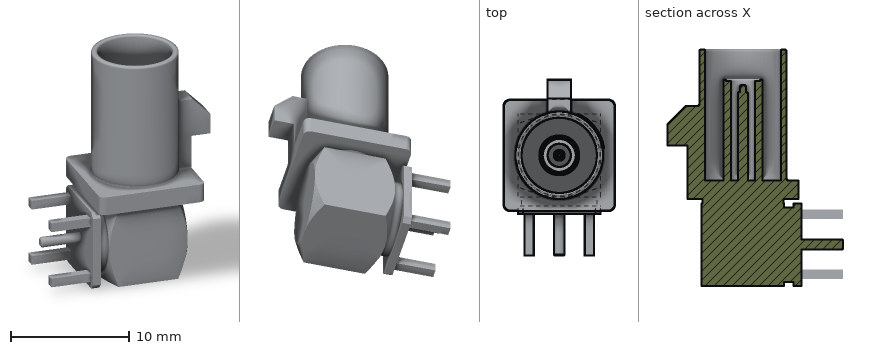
import cadquery as cq
import math


BLOCK_SIDE = 7.0
BLOCK_HALF = BLOCK_SIDE / 2
BLOCK_CHAMFER_ANGLE = 30.0

NECK_DIAMETER = 6.89
NECK_HEIGHT = 0.32
FLANGE_SIDE = 9.4
FLANGE_THICKNESS = 1.62
FLANGE_CORNER_RADIUS = 0.56
FLANGE_BOTTOM = BLOCK_SIDE + NECK_HEIGHT
FLANGE_TOP = FLANGE_BOTTOM + FLANGE_THICKNESS

TOTAL_HEIGHT = 20.02
BARREL_RADIUS = 3.7
BORE_RADIUS = 3.18
RIM_FILLET = 0.2
ROOT_FILLET = 0.15

RIB_WIDTH = 2.0
RIB_TOP = 15.24
HOOK_BOTTOM = 11.85
HOOK_REACH = 6.4
HOOK_BEVEL = 1.6

TUBE_TOP = 17.5
TUBE_RADIUS = 1.68
TUBE_BORE_RADIUS = 0.98
TUBE_RIM_CHAMFER = 0.15
CONTACT_TIP_DIAMETER = 0.52
CONTACT_TIP_LENGTH = 0.6
CONTACT_TOP = 17.02

PIN_DIAMETER = 0.9
PIN_CHAMFER = 0.12

SPACER_DIAMETER = 6.37
SPACER_LENGTH = 0.76
PLATE_THICKNESS = 0.7
PLATE_CHAMFER = 0.45
PIN_REACH = 8.49
GROUND_PIN_SIDE = 0.8
GROUND_PIN_PITCH = 5.09
PLATE_BACK = BLOCK_HALF + SPACER_LENGTH
PLATE_FRONT = PLATE_BACK + PLATE_THICKNESS
PIN_LENGTH = PIN_REACH - PLATE_FRONT


def board_plane(distance):
    """Plane facing -Y at the given distance from the barrel axis, centred on the block."""
    return cq.Workplane("XZ", origin=(0, -distance, BLOCK_HALF))


def make_block():
    """Cube whose two Y ends are turned down by cones, like the corners of a nut."""
    cube = cq.Workplane("XY").box(BLOCK_SIDE, BLOCK_SIDE, BLOCK_SIDE)
    corner_radius = BLOCK_HALF * math.sqrt(2)
    setback = (corner_radius - BLOCK_HALF) * math.tan(math.radians(BLOCK_CHAMFER_ANGLE))
    shoulder = BLOCK_HALF - setback
    turned = (
        cq.Workplane("XY")
        .moveTo(0, -BLOCK_HALF)
        .lineTo(BLOCK_HALF, -BLOCK_HALF)
        .lineTo(corner_radius, -shoulder)
        .lineTo(corner_radius, shoulder)
        .lineTo(BLOCK_HALF, BLOCK_HALF)
        .lineTo(0, BLOCK_HALF)
        .close()
        .revolve(360, (0, 0, 0), (0, 1, 0))
    )
    return cube.intersect(turned).translate((0, 0, BLOCK_HALF))


def make_flange():
    neck = cq.Workplane("XY", origin=(0, 0, BLOCK_SIDE)).circle(NECK_DIAMETER / 2).extrude(NECK_HEIGHT)
    flange = (
        cq.Workplane("XY", origin=(0, 0, FLANGE_BOTTOM))
        .rect(FLANGE_SIDE, FLANGE_SIDE)
        .extrude(FLANGE_THICKNESS)
        .edges("|Z")
        .fillet(FLANGE_CORNER_RADIUS)
    )
    return neck.union(flange)


def make_barrel_and_rib():
    """Solid barrel with its hooked latch rib, rounded where the two meet."""
    barrel = (
        cq.Workplane("XY", origin=(0, 0, FLANGE_TOP))
        .circle(BARREL_RADIUS)
        .extrude(TOTAL_HEIGHT - FLANGE_TOP)
    )
    rib = (
        cq.Workplane("YZ")
        .moveTo(0, FLANGE_TOP)
        .lineTo(FLANGE_SIDE / 2, FLANGE_TOP)
        .lineTo(FLANGE_SIDE / 2, HOOK_BOTTOM)
        .lineTo(HOOK_REACH, HOOK_BOTTOM)
        .lineTo(HOOK_REACH, RIB_TOP - HOOK_BEVEL)
        .lineTo(HOOK_REACH - HOOK_BEVEL, RIB_TOP)
        .lineTo(0, RIB_TOP)
        .close()
        .extrude(RIB_WIDTH / 2, both=True)
    )
    half_width = RIB_WIDTH / 2 + ROOT_FILLET
    seam = cq.selectors.BoxSelector(
        (-half_width, BARREL_RADIUS - ROOT_FILLET * 2, FLANGE_TOP + ROOT_FILLET),
        (half_width, BARREL_RADIUS + ROOT_FILLET, RIB_TOP + ROOT_FILLET),
    )
    return barrel.union(rib).edges(seam).fillet(ROOT_FILLET)


def make_bore():
    """Cutter for the barrel bore, which ends level with the top of the flange."""
    return (
        cq.Workplane("XY", origin=(0, 0, FLANGE_TOP))
        .circle(BORE_RADIUS)
        .extrude(TOTAL_HEIGHT - FLANGE_TOP)
    )


def make_tube():
    """Contact tube with a sharp rim, chamfered outside and inside."""
    shoulder = TUBE_TOP - TUBE_RIM_CHAMFER
    crest_radius = TUBE_RADIUS - TUBE_RIM_CHAMFER
    return (
        cq.Workplane("XZ")
        .moveTo(TUBE_BORE_RADIUS, FLANGE_TOP)
        .lineTo(TUBE_RADIUS, FLANGE_TOP)
        .lineTo(TUBE_RADIUS, shoulder)
        .lineTo(crest_radius, TUBE_TOP)
        .lineTo(crest_radius - TUBE_RIM_CHAMFER, shoulder)
        .lineTo(TUBE_BORE_RADIUS, shoulder)
        .close()
        .revolve(360, (0, 0, 0), (0, 1, 0))
    )


def make_contact():
    """Centre contact: a chamfered shank carrying a thinner chamfered tip."""
    shank = (
        cq.Workplane("XY", origin=(0, 0, FLANGE_TOP))
        .circle(PIN_DIAMETER / 2)
        .extrude(CONTACT_TOP - CONTACT_TIP_LENGTH - FLANGE_TOP)
        .faces(">Z")
        .chamfer(PIN_CHAMFER)
    )
    tip = (
        cq.Workplane("XY", origin=(0, 0, CONTACT_TOP - CONTACT_TIP_LENGTH))
        .circle(CONTACT_TIP_DIAMETER / 2)
        .extrude(CONTACT_TIP_LENGTH)
        .faces(">Z")
        .chamfer(PIN_CHAMFER)
    )
    return shank.union(tip)


def make_board_side():
    """Spacer, square plate, four ground pins and the centre signal pin."""
    spacer = board_plane(BLOCK_HALF).circle(SPACER_DIAMETER / 2).extrude(SPACER_LENGTH)
    plate = (
        board_plane(PLATE_BACK)
        .rect(BLOCK_SIDE, BLOCK_SIDE)
        .extrude(PLATE_THICKNESS)
        .edges("|Y")
        .chamfer(PLATE_CHAMFER)
    )
    ground_pins = (
        board_plane(PLATE_FRONT)
        .rect(GROUND_PIN_PITCH, GROUND_PIN_PITCH, forConstruction=True)
        .vertices()
        .rect(GROUND_PIN_SIDE, GROUND_PIN_SIDE)
        .extrude(PIN_LENGTH)
    )
    signal_pin = (
        board_plane(PLATE_FRONT)
        .circle(PIN_DIAMETER / 2)
        .extrude(PIN_LENGTH)
        .faces("<Y")
        .chamfer(PIN_CHAMFER)
    )
    return spacer.union(plate).union(ground_pins).union(signal_pin)


def make_housing():
    """Flange, barrel and rib, rounded at the foot, then bored and rounded at the rim."""
    reach = FLANGE_SIDE / 2 - FLANGE_CORNER_RADIUS
    foot = cq.selectors.BoxSelector(
        (-reach, -reach, FLANGE_TOP - ROOT_FILLET),
        (reach, reach, FLANGE_TOP + ROOT_FILLET),
    )
    solid = make_flange().union(make_barrel_and_rib())
    bored = solid.edges(foot).fillet(ROOT_FILLET).cut(make_bore())
    return bored.faces(">Z").edges().fillet(RIM_FILLET)


result = (
    make_block()
    .union(make_housing())
    .union(make_tube())
    .union(make_contact())
    .union(make_board_side())
)